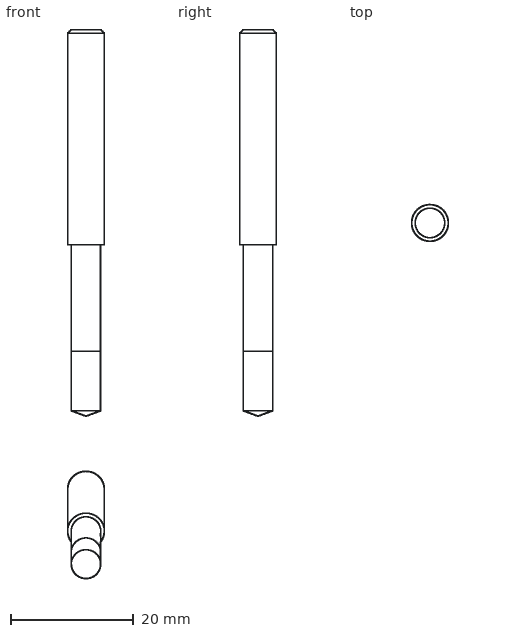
import cadquery as cq
import math


shank_diameter = 6.0
drill_diameter = 4.8
point_angle = 140.0
length_to_corner = 62.0
shank_length = 35.0
cutting_length = 9.7
shank_chamfer = 0.6

shank_radius = shank_diameter / 2
drill_radius = drill_diameter / 2
point_height = drill_radius / math.tan(math.radians(point_angle / 2))
split_z = point_height + cutting_length
top_z = point_height + length_to_corner
shoulder_z = top_z - shank_length


def make_cutting_tip():
    """Conical point and the cutting cylinder above it."""
    half_profile = [
        (0, 0),
        (drill_radius, point_height),
        (drill_radius, split_z),
        (0, split_z),
    ]
    return cq.Workplane("XZ").polyline(half_profile).close().revolve(360, (0, 0), (0, 1))


def make_shank():
    """Neck of drill diameter and the thicker shank with a chamfered end."""
    neck = cq.Workplane("XY").workplane(offset=split_z).circle(drill_radius).extrude(shoulder_z - split_z)
    grip = cq.Workplane("XY").workplane(offset=shoulder_z).circle(shank_radius).extrude(shank_length)
    grip = grip.faces(">Z").chamfer(shank_chamfer)
    return neck.union(grip)


cutting_tip = make_cutting_tip()
shank = make_shank()

result = cq.Compound.makeCompound([cutting_tip.val(), shank.val()])